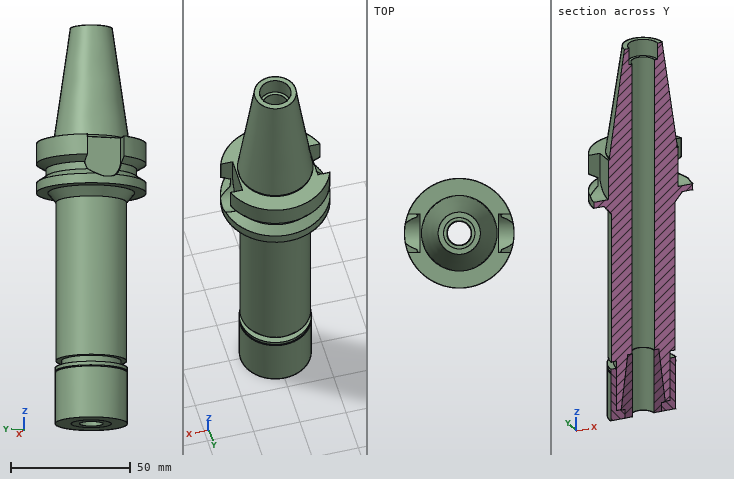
import cadquery as cq

total_height = 168.4
taper_bottom = 120.2
flange_top = 119.2
groove_top = 110.6
groove_floor_top = 108.3
groove_floor_bottom = 105.0
groove_bottom = 102.4
flange_bottom = 98.3
shank_top = 94.3
shank_bottom = 26.8
nut_height = 23.7
nut_floor = 4.2
collet_top = 28.6

taper_small_radius = 17.7 / 2
taper_large_radius = 15.8
taper_relief_radius = 15.5
flange_radius = 22.99
groove_radius = 19.0
collar_radius = 18.2
shank_radius = 14.8
nose_radius = 12.5
nut_radius = 15.2
nut_groove_radius = 15.0

nut_groove_top = 22.2
nut_groove_width = 0.5

pull_stud_radius = 6.5
pull_stud_depth = 7.4
holder_bore_radius = 10.5 / 2
collet_bore_radius = 10.0 / 2

collet_face_radius = 8.5
collet_large_radius = 10.1
collet_small_radius = 7.0

slot_radius = 16.0 / 2
slot_face_distance = 16.3
slot_arc_height = 109.3


def revolve_profile(points):
    """Turn a closed (radius, height) outline around the Z axis."""
    return cq.Workplane("XZ").polyline(points).close().revolve(360, (0, 0, 0), (0, 1, 0))


def bore(radius, bottom, top):
    return cq.Workplane("XY").workplane(offset=bottom).circle(radius).extrude(top - bottom)


def make_drive_slot(side):
    """Round-bottomed cutter open to the top of the flange, on the side +1 or -1 of X."""
    return (
        cq.Workplane("YZ", origin=(side * slot_face_distance, 0, 0))
        .moveTo(-slot_radius, flange_top)
        .lineTo(-slot_radius, slot_arc_height)
        .threePointArc((0, slot_arc_height - slot_radius), (slot_radius, slot_arc_height))
        .lineTo(slot_radius, flange_top)
        .close()
        .extrude(side * flange_radius)
    )


def make_collet_outside():
    return revolve_profile([
        (0, 0),
        (collet_face_radius, 0),
        (collet_face_radius, nut_floor),
        (collet_large_radius, nut_floor),
        (collet_small_radius, collet_top),
        (0, collet_top),
    ])


def make_holder():
    body = revolve_profile([
        (0, nut_floor),
        (nose_radius, nut_floor),
        (nose_radius, shank_bottom),
        (shank_radius, shank_bottom),
        (shank_radius, shank_top),
        (collar_radius, flange_bottom),
        (flange_radius, flange_bottom),
        (flange_radius, groove_bottom),
        (groove_radius, groove_floor_bottom),
        (groove_radius, groove_floor_top),
        (flange_radius, groove_top),
        (flange_radius, flange_top),
        (taper_relief_radius, flange_top),
        (taper_large_radius, taper_bottom),
        (taper_small_radius, total_height),
        (0, total_height),
    ])
    for side in (-1, 1):
        body = body.cut(make_drive_slot(side))
    body = body.cut(bore(holder_bore_radius, nut_floor, total_height))
    body = body.cut(bore(pull_stud_radius, total_height - pull_stud_depth, total_height))
    return body.cut(make_collet_outside())


def make_nut():
    nut_groove_bottom = nut_groove_top - nut_groove_width
    return revolve_profile([
        (collet_face_radius, 0),
        (nut_radius, 0),
        (nut_radius, nut_groove_bottom),
        (nut_groove_radius, nut_groove_bottom),
        (nut_groove_radius, nut_groove_top),
        (nut_radius, nut_groove_top),
        (nut_radius, nut_height),
        (nose_radius, nut_height),
        (nose_radius, nut_floor),
        (collet_face_radius, nut_floor),
    ])


def make_collet():
    return make_collet_outside().cut(bore(collet_bore_radius, 0, collet_top))


holder = make_holder()
nut = make_nut()
collet = make_collet()

result = cq.Compound.makeCompound([body.solids().val() for body in (holder, nut, collet)])